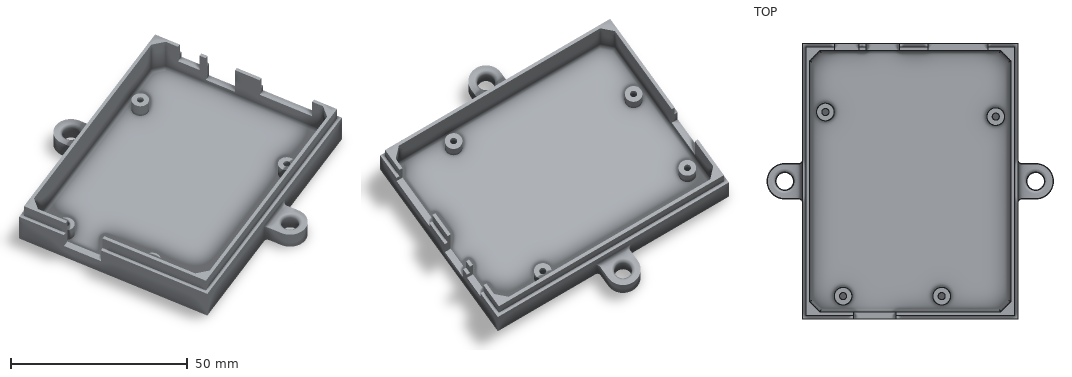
import cadquery as cq

body_length_x = 61.0
body_length_y = 78.0
wall = 2.0
floor_thickness = 2.0
shoulder_height = 9.0
total_height = 13.0
lip_inset = 1.0
cavity_corner_chamfer = 3.0
floor_edge_radius = 1.0

ear_radius = 5.0
ear_height = 5.0
ear_hole_offset = 5.0
ear_hole_radius = 2.5
ear_hole_rim_radius = 1.0
ear_root_radius = 1.0

post_radius = 2.5
post_height = 4.0
post_hole_radius = 1.0
post_centers = [(-24.0, 19.6), (24.2, 18.3), (-19.0, -32.5), (8.9, -32.5)]

front_openings = [(-16.0, -4.0, 4.5)]
back_openings = [(-21.5, -14.5, 7.0), (-12.5, -3.0, 4.0), (5.0, 22.0, 7.0)]

side_wall_x = body_length_x / 2
ear_hole_x = side_wall_x + ear_hole_offset

margin = 0.1


def upright_box(length_x, length_y, bottom, top):
    """Box centred on the Z axis between two heights."""
    return cq.Workplane("XY", origin=(0, 0, bottom)).rect(length_x, length_y).extrude(top - bottom)


def outer_block():
    """Rectangular base with a narrower lip standing on its shoulder."""
    base = upright_box(body_length_x, body_length_y, 0, shoulder_height)
    lip_x = body_length_x - 2 * lip_inset
    lip_y = body_length_y - 2 * lip_inset
    return base.union(upright_box(lip_x, lip_y, 0, total_height))


def ear_disc(side, radius):
    """Upright disc around the hole axis of one ear, as tall as the ear."""
    return cq.Workplane("XY", origin=(side * ear_hole_x, 0, 0)).circle(radius).extrude(ear_height)


def add_ears(block):
    """Round-ended ears joined by one bar that passes through the block."""
    block = block.union(upright_box(2 * ear_hole_x, 2 * ear_radius, 0, ear_height))
    for side in (-1, 1):
        block = block.union(ear_disc(side, ear_radius))
    return block


def blend_ear_roots(block):
    """Concave fillet along the top and both sides of each ear where it meets the wall."""
    for side in (-1, 1):
        root_edges = cq.selectors.BoxSelector(
            (side * side_wall_x - margin, -ear_radius - margin, margin),
            (side * side_wall_x + margin, ear_radius + margin, ear_height + margin),
        )
        block = block.edges(root_edges).fillet(ear_root_radius)
    return block


def cut_ear_holes(block):
    """Vertical through holes with a rounded upper rim."""
    for side in (-1, 1):
        block = block.cut(ear_disc(side, ear_hole_radius))
        rim_edge = cq.selectors.BoxSelector(
            (side * ear_hole_x - margin, -margin, ear_height - margin),
            (side * ear_hole_x + margin, margin, ear_height + margin),
        )
        block = block.edges(rim_edge).fillet(ear_hole_rim_radius)
    return block


def cavity():
    """Open-topped pocket with chamfered corners and a rounded floor edge."""
    return (
        upright_box(body_length_x - 2 * wall, body_length_y - 2 * wall, floor_thickness, total_height)
        .edges("|Z")
        .chamfer(cavity_corner_chamfer)
        .faces("<Z")
        .edges()
        .fillet(floor_edge_radius)
    )


def wall_opening(side, start_x, end_x, sill):
    """Cutter for a notch through the end wall at +Y (side 1) or -Y (side -1)."""
    center_x = (start_x + end_x) / 2
    center_y = side * (body_length_y - wall) / 2
    return (
        cq.Workplane("XY", origin=(center_x, center_y, sill))
        .rect(end_x - start_x, wall)
        .extrude(total_height - sill)
    )


def cut_wall_openings(tray):
    """Connector notches in both end walls."""
    for side, openings in ((-1, front_openings), (1, back_openings)):
        for start_x, end_x, sill in openings:
            tray = tray.cut(wall_opening(side, start_x, end_x, sill))
    return tray


def posts():
    """Board supports with a screw hole down to the floor."""
    return (
        cq.Workplane("XY", origin=(0, 0, floor_thickness))
        .pushPoints(post_centers)
        .circle(post_radius)
        .extrude(post_height)
        .faces(">Z")
        .workplane(origin=(0, 0, floor_thickness + post_height))
        .pushPoints(post_centers)
        .circle(post_hole_radius)
        .cutBlind(-post_height)
    )


block = add_ears(outer_block())
block = blend_ear_roots(block)
block = cut_ear_holes(block)
tray = cut_wall_openings(block.cut(cavity()))
result = tray.union(posts())